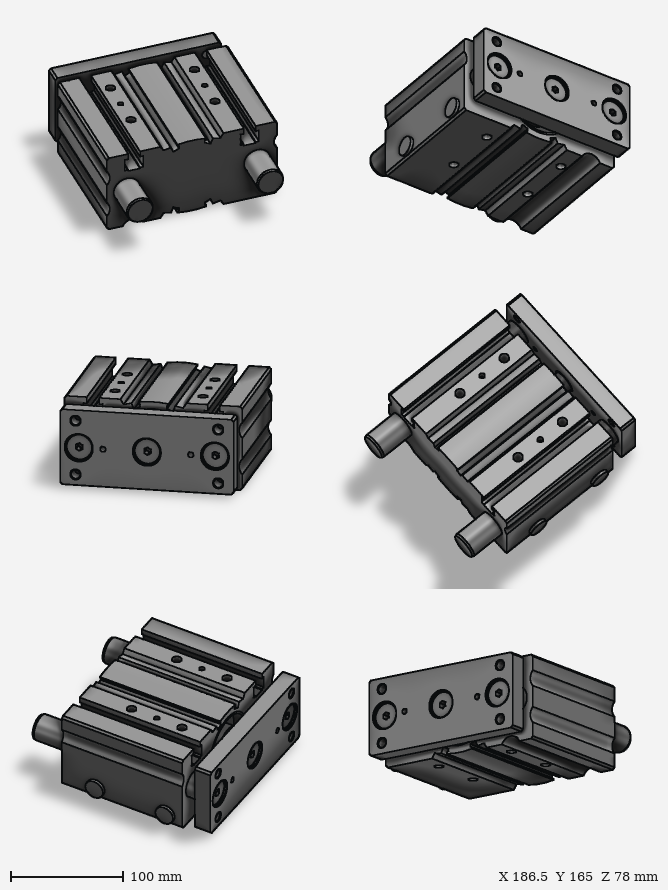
import cadquery as cq
import math


PLATE_LENGTH = 16.0
PLATE_WIDTH = 158.0
PLATE_HEIGHT = 70.0
PLATE_CHAMFER = 2.0
RECESS_DIAMETER = 24.6
RECESS_MOUTH_DIAMETER = 26.0
RECESS_DEPTH = 2.5
SOCKET_ACROSS_FLATS = 6.2
SOCKET_DEPTH = 9.3
PLATE_HOLE_DIAMETER = 8.2
PLATE_HOLE_CHAMFER = 0.7
PLATE_HOLE_PITCH_Y = 130.0
PLATE_HOLE_PITCH_Z = 50.0

DOWEL_DIAMETER = 5.0
DOWEL_PITCH = 80.0
DOWEL_DEPTH = 9.3

HOUSING_START = 28.0
HOUSING_LENGTH = 124.0
HOUSING_WIDTH = 162.0
HOUSING_HEIGHT = 78.0
HOUSING_CHAMFER = 2.0
HALF_WIDTH = HOUSING_WIDTH / 2
HALF_HEIGHT = HOUSING_HEIGHT / 2
HOUSING_END = HOUSING_START + HOUSING_LENGTH

LAND_EDGE = 30.0
VALLEY_Y = 27.0
VALLEY_Z = 34.3
RIDGE_Y = 20.0
RIDGE_Z = 35.8
GROOVE_Y = 17.7
GROOVE_Z = 30.4
CROWN_FOOT_Y = 12.3
CROWN_FOOT_Z = 32.8
CROWN_UNDERCUT_Z = 35.0
CROWN_EDGE_Y = 13.8
CROWN_LIP_Z = 36.2
CROWN_EDGE_Z = 37.3
CROWN_TOP_Z = 38.5

SLOT_Y = 55.0
SLOT_WIDTH = 11.2
SLOT_LIP = 5.8
SLOT_INNER_WIDTH = 17.5
SLOT_INNER_HEIGHT = 11.7
SLOT_RELIEF_DEPTH = 1.1

SIDE_GROOVE_Z = 17.0
SIDE_GROOVE_WIDTH = 14.4
BOTTOM_GROOVE_Y = 56.3
BOTTOM_GROOVE_WIDTH = 19.0
GROOVE_RADIUS = 10.5

MOUNT_HOLE_DIAMETER = 8.5
MOUNT_HOLE_X = 52.0
MOUNT_HOLE_PITCH_X = 51.8

PORT_DIAMETER = 18.0
PORT_HEIGHT = 3.0
PORT_Z = -28.3
PORT_X = 44.8
PORT_PITCH_X = 72.2

ROD_PITCH = 124.0
ROD_END_DIAMETER = 23.0
GUIDE_ROD_DIAMETER = 25.0
GUIDE_ROD_END = 186.5
GUIDE_ROD_TIP_LENGTH = 2.0
GUIDE_ROD_TIP_INSET = 0.7
PISTON_ROD_DIAMETER = 20.0
PISTON_ROD_END = HOUSING_END - 18.6

CAP_DIAMETER = 63.8
CAP_RECESS_DIAMETER = 59.7
CAP_RECESS_DEPTH = 11.2
CAP_HUB_DIAMETER = 36.2
CAP_FLOOR_THICKNESS = 7.5
CAP_FLOOR_START = HOUSING_START + CAP_RECESS_DEPTH
CAP_END = CAP_FLOOR_START + CAP_FLOOR_THICKNESS


def rod_along_x(diameter, start, end, y=0.0, z=0.0):
    """Round bar along X."""
    return cq.Workplane("YZ", origin=(start, y, z)).circle(diameter / 2).extrude(end - start)


def countersink(y, z, hole_diameter, mouth_diameter):
    """45 degree cutter that widens the mouth of a plate hole at its front face."""
    return (
        cq.Workplane("YZ", origin=(0, y, z))
        .circle(mouth_diameter / 2)
        .extrude((mouth_diameter - hole_diameter) / 2, taper=45)
    )


def profile_bar():
    """Housing bar with its mounting lands and crowns, without slots and grooves."""
    edge = [
        (LAND_EDGE, HALF_HEIGHT),
        (VALLEY_Y, VALLEY_Z),
        (RIDGE_Y, RIDGE_Z),
        (GROOVE_Y, GROOVE_Z),
        (CROWN_FOOT_Y, CROWN_FOOT_Z),
        (CROWN_FOOT_Y, CROWN_UNDERCUT_Z),
        (CROWN_EDGE_Y, CROWN_LIP_Z),
        (CROWN_EDGE_Y, CROWN_EDGE_Z),
    ]
    hollow = (
        cq.Workplane("YZ", origin=(HOUSING_START, 0, 0))
        .polyline(edge)
        .threePointArc((0, CROWN_TOP_Z), (-CROWN_EDGE_Y, CROWN_EDGE_Z))
    )
    for y, z in reversed(edge[:-1]):
        hollow = hollow.lineTo(-y, z)
    hollow = hollow.close().extrude(HOUSING_LENGTH)
    bar = (
        cq.Workplane("YZ", origin=(HOUSING_START, 0, 0))
        .rect(HOUSING_WIDTH, HOUSING_HEIGHT)
        .extrude(HOUSING_LENGTH)
        .edges("|X")
        .chamfer(HOUSING_CHAMFER)
    )
    return bar.cut(hollow).cut(hollow.mirror("XY"))


def housing_strip(y, bottom, top, width):
    """Rectangular strip along the whole housing, between two heights."""
    return (
        cq.Workplane("XY", origin=(HOUSING_START + HOUSING_LENGTH / 2, y, bottom))
        .rect(HOUSING_LENGTH, width)
        .extrude(top - bottom)
    )


def t_slot(y):
    """T-slot cutter that opens on top of the housing and has a shallow relief in its floor."""
    inner_top = HALF_HEIGHT - SLOT_LIP
    inner_bottom = inner_top - SLOT_INNER_HEIGHT
    stem = housing_strip(y, inner_bottom - SLOT_RELIEF_DEPTH, HALF_HEIGHT, SLOT_WIDTH)
    return stem.union(housing_strip(y, inner_bottom, inner_top, SLOT_INNER_WIDTH))


def groove_offset(width):
    """Distance from the housing wall out to the axis of a groove with this mouth width."""
    return math.sqrt(GROOVE_RADIUS**2 - (width / 2) ** 2)


def round_groove(y, z):
    """Cutter for a round-bottomed groove along X."""
    return rod_along_x(2 * GROOVE_RADIUS, HOUSING_START, HOUSING_END, y, z)


def make_housing():
    housing = profile_bar()
    for side in (-1, 1):
        housing = housing.cut(t_slot(side * SLOT_Y))

    side_axis_y = HALF_WIDTH + groove_offset(SIDE_GROOVE_WIDTH)
    side_axes = [
        (-side_axis_y, SIDE_GROOVE_Z),
        (-side_axis_y, -SIDE_GROOVE_Z),
        (side_axis_y, SIDE_GROOVE_Z),
    ]
    for y, z in side_axes:
        housing = housing.cut(round_groove(y, z))
    bottom_axis_z = -HALF_HEIGHT - groove_offset(BOTTOM_GROOVE_WIDTH)
    housing = housing.cut(round_groove(-BOTTOM_GROOVE_Y, bottom_axis_z))

    top = cq.Workplane("XY", origin=(0, 0, HALF_HEIGHT))
    mount_points = [
        (MOUNT_HOLE_X + i * MOUNT_HOLE_PITCH_X, side * DOWEL_PITCH / 2) for i in (0, 1) for side in (-1, 1)
    ]
    housing = housing.cut(
        top.pushPoints(mount_points).circle(MOUNT_HOLE_DIAMETER / 2).extrude(-HOUSING_HEIGHT)
    )
    dowel_x = MOUNT_HOLE_X + MOUNT_HOLE_PITCH_X / 2
    dowel_points = [(dowel_x, side * DOWEL_PITCH / 2) for side in (-1, 1)]
    housing = housing.cut(top.pushPoints(dowel_points).circle(DOWEL_DIAMETER / 2).extrude(-DOWEL_DEPTH))

    for i in (0, 1):
        boss = (
            cq.Workplane("XZ", origin=(PORT_X + i * PORT_PITCH_X, HALF_WIDTH, PORT_Z))
            .circle(PORT_DIAMETER / 2)
            .extrude(-PORT_HEIGHT)
        )
        housing = housing.union(boss)

    for side in (-1, 1):
        housing = housing.cut(
            rod_along_x(GUIDE_ROD_DIAMETER, HOUSING_START, HOUSING_END, side * ROD_PITCH / 2)
        )
    housing = housing.cut(rod_along_x(PISTON_ROD_DIAMETER, HOUSING_START, PISTON_ROD_END))
    return housing.cut(rod_along_x(CAP_DIAMETER, HOUSING_START, CAP_END))


def make_cap():
    cap = rod_along_x(CAP_DIAMETER, HOUSING_START, CAP_END)
    recess = rod_along_x(CAP_RECESS_DIAMETER, HOUSING_START, CAP_FLOOR_START)
    hub = rod_along_x(CAP_HUB_DIAMETER, HOUSING_START, CAP_FLOOR_START)
    return cap.cut(recess).union(hub).cut(rod_along_x(PISTON_ROD_DIAMETER, HOUSING_START, CAP_END))


def make_plate():
    plate = (
        cq.Workplane("YZ")
        .rect(PLATE_WIDTH, PLATE_HEIGHT)
        .extrude(PLATE_LENGTH)
        .edges("|X")
        .chamfer(PLATE_CHAMFER)
    )
    holes = (
        cq.Workplane("YZ")
        .rect(PLATE_HOLE_PITCH_Y, PLATE_HOLE_PITCH_Z, forConstruction=True)
        .vertices()
        .circle(PLATE_HOLE_DIAMETER / 2)
        .extrude(PLATE_LENGTH)
    )
    plate = plate.cut(holes)
    hole_mouth_diameter = PLATE_HOLE_DIAMETER + 2 * PLATE_HOLE_CHAMFER
    for y in (-PLATE_HOLE_PITCH_Y / 2, PLATE_HOLE_PITCH_Y / 2):
        for z in (-PLATE_HOLE_PITCH_Z / 2, PLATE_HOLE_PITCH_Z / 2):
            plate = plate.cut(countersink(y, z, PLATE_HOLE_DIAMETER, hole_mouth_diameter))
    for side in (-1, 1):
        plate = plate.cut(rod_along_x(DOWEL_DIAMETER, 0, PLATE_LENGTH, side * DOWEL_PITCH / 2))
    for position in (-1, 0, 1):
        y = position * ROD_PITCH / 2
        plate = plate.cut(rod_along_x(RECESS_DIAMETER, 0, RECESS_DEPTH, y))
        plate = plate.cut(countersink(y, 0, RECESS_DIAMETER, RECESS_MOUTH_DIAMETER))
        plate = plate.cut(rod_along_x(ROD_END_DIAMETER, RECESS_DEPTH, PLATE_LENGTH, y))
    return plate


def rod_end(y):
    """Rod end that fills the plate hole up to the recess and carries a hexagon socket."""
    end = rod_along_x(ROD_END_DIAMETER, RECESS_DEPTH, PLATE_LENGTH, y)
    across_corners = SOCKET_ACROSS_FLATS / math.cos(math.pi / 6)
    socket = (
        cq.Workplane("YZ", origin=(RECESS_DEPTH, y, 0))
        .transformed(rotate=(0, 0, 90))
        .polygon(6, across_corners)
        .extrude(SOCKET_DEPTH)
    )
    return end.cut(socket)


def make_guide_rod(side):
    y = side * ROD_PITCH / 2
    rod = rod_along_x(GUIDE_ROD_DIAMETER, PLATE_LENGTH, GUIDE_ROD_END, y)
    rod = rod.faces(">X").chamfer(GUIDE_ROD_TIP_LENGTH, GUIDE_ROD_TIP_INSET)
    return rod.union(rod_end(y))


def make_piston_rod():
    rod = rod_along_x(PISTON_ROD_DIAMETER, PLATE_LENGTH, PISTON_ROD_END)
    return rod.union(rod_end(0))


housing = make_housing()
cap = make_cap()
plate = make_plate()
guide_rods = [make_guide_rod(side) for side in (-1, 1)]
piston_rod = make_piston_rod()

result = cq.Compound.makeCompound(
    [housing.val(), cap.val(), plate.val(), *[rod.val() for rod in guide_rods], piston_rod.val()]
)